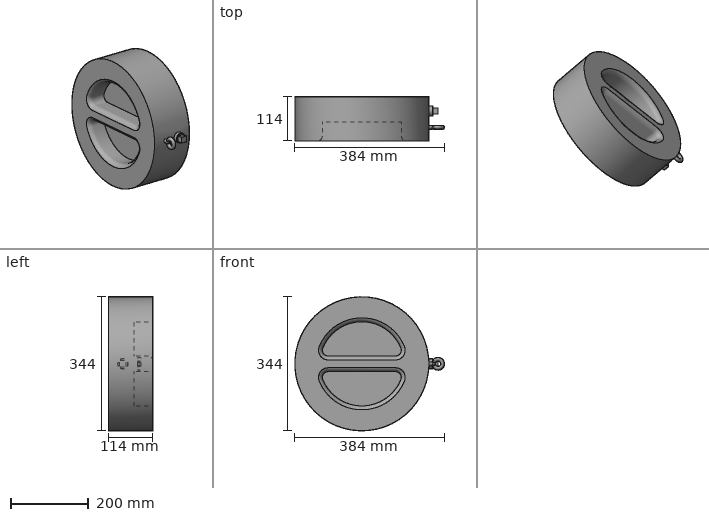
import cadquery as cq
import math

OVERALL_LENGTH = 384.0

BODY_DIAMETER = 344.0
BODY_THICKNESS = 114.0
BODY_RADIUS = BODY_DIAMETER / 2
FRONT_Y = -BODY_THICKNESS / 2

POCKET_RADIUS = 108.0
RIB_THICKNESS = 40.0
POCKET_CORNER_RADIUS = 15.0
POCKET_DEPTH = 49.0
MOUTH_ROUND = 15.0
MOUTH_FLARE = 10.0
MOUTH_ARC_DEPTH = math.sqrt(MOUTH_ROUND**2 - (MOUTH_ROUND - MOUTH_FLARE) ** 2)
FACING_ALLOWANCE = MOUTH_ROUND - MOUTH_ARC_DEPTH

EMBED_DEPTH = 4.0
FITTING_BASE_X = BODY_RADIUS - EMBED_DEPTH

PLUG_Y = 20.0
COLLAR_DIAMETER = 26.5
COLLAR_LENGTH = 10.5
COLLAR_CHAMFER = 0.8
DRIVE_WIDTH = 16.0
DRIVE_LENGTH = 13.0

EYE_Y = -22.0
EYE_BAR_DIAMETER = 10.0
EYE_OUTER_DIAMETER = 33.0
EYE_TIP_X = OVERALL_LENGTH - BODY_RADIUS
EYE_CENTER_X = EYE_TIP_X - EYE_OUTER_DIAMETER / 2
EYE_RING_RADIUS = (EYE_OUTER_DIAMETER - EYE_BAR_DIAMETER) / 2
SHANK_LENGTH = 5.8
NECK_LENGTH = 6.0
NECK_TIP_RADIUS = 4.5
EYE_GAP_ANGLE = 44


def side_plane(x, y):
    """Sketch plane facing +X at the given position."""
    return cq.Workplane("YZ", origin=(x, y, 0))


def make_disc():
    """Round disc, longer at the front by the allowance that is later faced off."""
    back_plane = cq.Workplane("XZ", origin=(0, -FRONT_Y, 0))
    return back_plane.circle(BODY_RADIUS).extrude(BODY_THICKNESS + FACING_ALLOWANCE)


def make_pockets():
    """Both D-shaped pocket volumes, from their floors to the front of the raw disc."""
    length = POCKET_DEPTH + FACING_ALLOWANCE
    floor_plane = cq.Workplane("XZ", origin=(0, FRONT_Y + POCKET_DEPTH, 0))
    pockets = floor_plane.circle(POCKET_RADIUS).extrude(length)
    rib = cq.Workplane("XY").box(BODY_DIAMETER, 2 * BODY_THICKNESS, RIB_THICKNESS)
    return pockets.cut(rib).edges("|Y").fillet(POCKET_CORNER_RADIUS)


def round_pocket_mouths(disc):
    """Round over the pocket outlines in the front face."""
    mouths = disc.faces("<Y").val().innerWires()
    mouth_edges = [edge for mouth in mouths for edge in mouth.Edges()]
    return disc.newObject(mouth_edges).fillet(MOUTH_ROUND)


def make_body():
    """Disc with rounded pockets, faced off to its final thickness."""
    rounded = round_pocket_mouths(make_disc().cut(make_pockets()))
    front_plane = cq.Workplane("XZ", origin=(0, FRONT_Y, 0))
    return rounded.cut(front_plane.circle(BODY_DIAMETER).extrude(BODY_THICKNESS))


def make_plug():
    collar = side_plane(FITTING_BASE_X, PLUG_Y).circle(COLLAR_DIAMETER / 2)
    collar = collar.extrude(EMBED_DEPTH + COLLAR_LENGTH).faces(">X").chamfer(COLLAR_CHAMFER)
    drive = side_plane(BODY_RADIUS, PLUG_Y).rect(DRIVE_WIDTH, DRIVE_WIDTH)
    return collar.union(drive.extrude(COLLAR_LENGTH + DRIVE_LENGTH))


def make_eye():
    bar_radius = EYE_BAR_DIAMETER / 2
    neck_start_x = BODY_RADIUS + SHANK_LENGTH
    dome_center_x = neck_start_x + NECK_LENGTH
    dome_offset = NECK_TIP_RADIUS * math.sqrt(0.5)
    shank_outline = (
        cq.Workplane("XY", origin=(0, EYE_Y, 0))
        .moveTo(FITTING_BASE_X, 0)
        .lineTo(FITTING_BASE_X, bar_radius)
        .lineTo(neck_start_x, bar_radius)
        .lineTo(dome_center_x, NECK_TIP_RADIUS)
        .threePointArc((dome_center_x + dome_offset, dome_offset), (dome_center_x + NECK_TIP_RADIUS, 0))
        .close()
    )
    shank = shank_outline.revolve(360, (0, 0, 0), (1, 0, 0))
    ring = (
        cq.Workplane("XY", origin=(EYE_CENTER_X, EYE_Y, 0))
        .center(-EYE_RING_RADIUS, 0)
        .circle(bar_radius)
        .revolve(360 - EYE_GAP_ANGLE, (EYE_RING_RADIUS, 0, 0), (EYE_RING_RADIUS, 1, 0))
        .rotate((EYE_CENTER_X, 0, 0), (EYE_CENTER_X, 1, 0), EYE_GAP_ANGLE / 2)
    )
    return shank.union(ring)


result = make_body().union(make_plug()).union(make_eye())